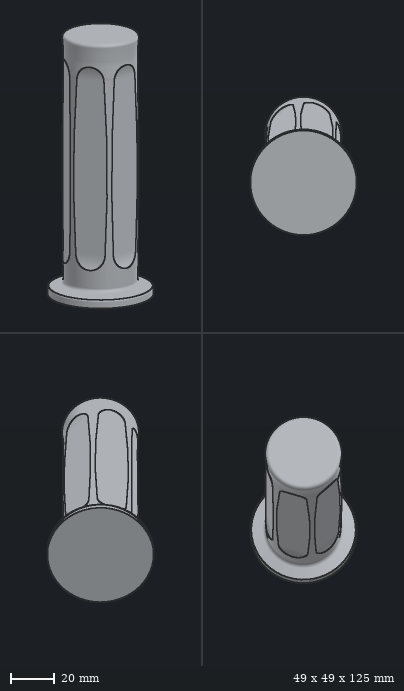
import cadquery as cq
import math

LENGTH = 125.0

FLANGE_RADIUS = 49.0 / 2
FLANGE_RIM_HEIGHT = 3.1
FLANGE_EDGE_WIDTH = 0.5
FLANGE_EDGE_HEIGHT = 0.9
NECK_FOOT_RADIUS = 18.75
NECK_FOOT_HEIGHT = 5.3

BARREL_BOTTOM = 7.6
BARREL_TOP = 114.0
BARREL_END_RADIUS = 17.2
BARREL_MID_RADIUS = 18.05

CAP_BOTTOM = 115.6
CAP_BOTTOM_RADIUS = 17.2
CAP_RIM_RADIUS = 17.7
CAP_RIM_HEIGHT = 122.75
CAP_FLARE_SAG = 0.05
CAP_FACE_RADIUS = 15.75

FLAT_COUNT = 6
FLAT_DISTANCE = 16.15
FLAT_BOTTOM = 23.1
FLAT_TOP = 106.9
RUNOUT_RADIUS = 20.0
CUTTER_CLEARANCE = 1.0
CUTTER_OUTER_RADIUS = BARREL_MID_RADIUS + CUTTER_CLEARANCE
CUTTER_WIDTH = 2 * BARREL_MID_RADIUS


def make_body():
    """Revolve the flange, barrel and cap outline about Z."""
    barrel_middle = (BARREL_BOTTOM + BARREL_TOP) / 2
    flare_middle_radius = (CAP_BOTTOM_RADIUS + CAP_RIM_RADIUS) / 2 - CAP_FLARE_SAG
    flare_middle_height = (CAP_BOTTOM + CAP_RIM_HEIGHT) / 2
    flange_top = FLANGE_RIM_HEIGHT + FLANGE_EDGE_HEIGHT
    return (
        cq.Workplane("XZ")
        .lineTo(FLANGE_RADIUS, 0)
        .lineTo(FLANGE_RADIUS, FLANGE_RIM_HEIGHT)
        .tangentArcPoint((FLANGE_RADIUS - FLANGE_EDGE_WIDTH, flange_top), relative=False)
        .lineTo(NECK_FOOT_RADIUS, NECK_FOOT_HEIGHT)
        .tangentArcPoint((BARREL_END_RADIUS, BARREL_BOTTOM), relative=False)
        .threePointArc((BARREL_MID_RADIUS, barrel_middle), (BARREL_END_RADIUS, BARREL_TOP))
        .tangentArcPoint((CAP_BOTTOM_RADIUS, CAP_BOTTOM), relative=False)
        .threePointArc((flare_middle_radius, flare_middle_height), (CAP_RIM_RADIUS, CAP_RIM_HEIGHT))
        .tangentArcPoint((CAP_FACE_RADIUS, LENGTH), relative=False)
        .lineTo(0, LENGTH)
        .close()
        .revolve(360, (0, 0), (0, 1))
    )


def make_flat_cutter():
    """Material outside one flat on the +X side, with a concave run-out at each end."""
    runout_depth = CUTTER_OUTER_RADIUS - FLAT_DISTANCE
    runout_angle = math.acos(1 - runout_depth / RUNOUT_RADIUS)
    runout_length = RUNOUT_RADIUS * math.sin(runout_angle)
    middle_depth = RUNOUT_RADIUS * (1 - math.cos(runout_angle / 2))
    middle_length = RUNOUT_RADIUS * math.sin(runout_angle / 2)
    middle_radius = FLAT_DISTANCE + middle_depth
    return (
        cq.Workplane("XZ")
        .moveTo(FLAT_DISTANCE, FLAT_BOTTOM)
        .lineTo(FLAT_DISTANCE, FLAT_TOP)
        .threePointArc(
            (middle_radius, FLAT_TOP + middle_length),
            (CUTTER_OUTER_RADIUS, FLAT_TOP + runout_length),
        )
        .lineTo(CUTTER_OUTER_RADIUS, FLAT_BOTTOM - runout_length)
        .threePointArc(
            (middle_radius, FLAT_BOTTOM - middle_length),
            (FLAT_DISTANCE, FLAT_BOTTOM),
        )
        .close()
        .extrude(CUTTER_WIDTH / 2, both=True)
    )


def cut_flats(body):
    """Cut the evenly spaced flats around the barrel."""
    cutter = make_flat_cutter()
    for index in range(FLAT_COUNT):
        angle = index * 360 / FLAT_COUNT
        body = body.cut(cutter.rotate((0, 0, 0), (0, 0, 1), angle))
    return body


result = cut_flats(make_body())